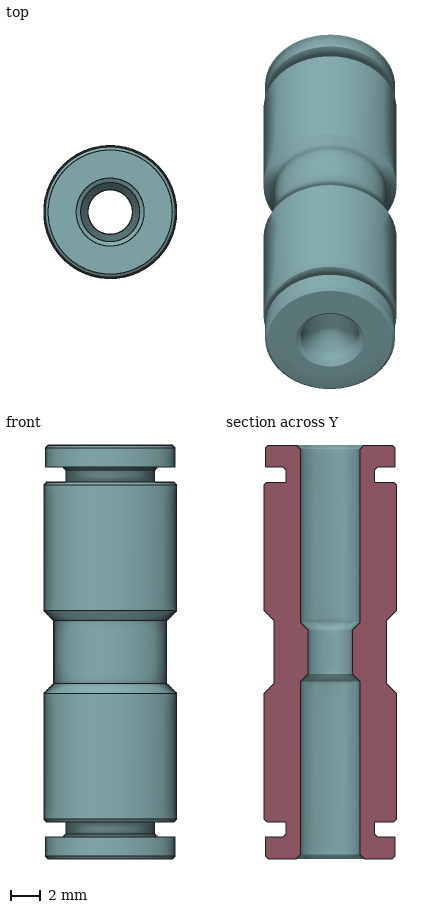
import cadquery as cq

total_length = 28.0
half_length = total_length / 2

collar_diameter = 8.8
collar_thickness = 1.5
collar_chamfer = 0.2

neck_diameter = 6.0
neck_flare = 0.2

body_diameter = 9.0
body_end_depth = 2.5
body_chamfer = 0.2
waist_diameter = 7.65
waist_length = 4.25

socket_diameter = 4.0
socket_chamfer = 0.3
socket_depth = 12.0
passage_diameter = 3.0

collar_radius = collar_diameter / 2
neck_radius = neck_diameter / 2
body_radius = body_diameter / 2
waist_radius = waist_diameter / 2
socket_radius = socket_diameter / 2
passage_radius = passage_diameter / 2
collar_bottom = half_length - collar_thickness
body_top = half_length - body_end_depth
waist_top = waist_length / 2
shoulder_height = body_radius - waist_radius
socket_bottom = half_length - socket_depth
socket_cone_height = socket_radius - passage_radius


def outer_half_profile():
    """Outer (radius, height) points from the waist up to the top face."""
    return [
        (waist_radius, waist_top),
        (body_radius, waist_top + shoulder_height),
        (body_radius, body_top - body_chamfer),
        (body_radius - body_chamfer, body_top),
        (neck_radius, body_top),
        (neck_radius, collar_bottom - neck_flare),
        (neck_radius + neck_flare, collar_bottom),
        (collar_radius, collar_bottom),
        (collar_radius, half_length - collar_chamfer),
        (collar_radius - collar_chamfer, half_length),
    ]


def bore_half_profile():
    """Bore (radius, height) points from the top face down to the passage."""
    return [
        (socket_radius + socket_chamfer, half_length),
        (socket_radius, half_length - socket_chamfer),
        (socket_radius, socket_bottom),
        (passage_radius, socket_bottom - socket_cone_height),
    ]


def tube_union():
    """Revolve the closed section, with the lower half a reflection of the upper."""
    upper = outer_half_profile() + bore_half_profile()
    lower = [(radius, -height) for radius, height in reversed(upper)]
    section = cq.Workplane("XZ").polyline(upper + lower).close()
    return section.revolve(360, (0, 0), (0, 1))


result = tube_union()